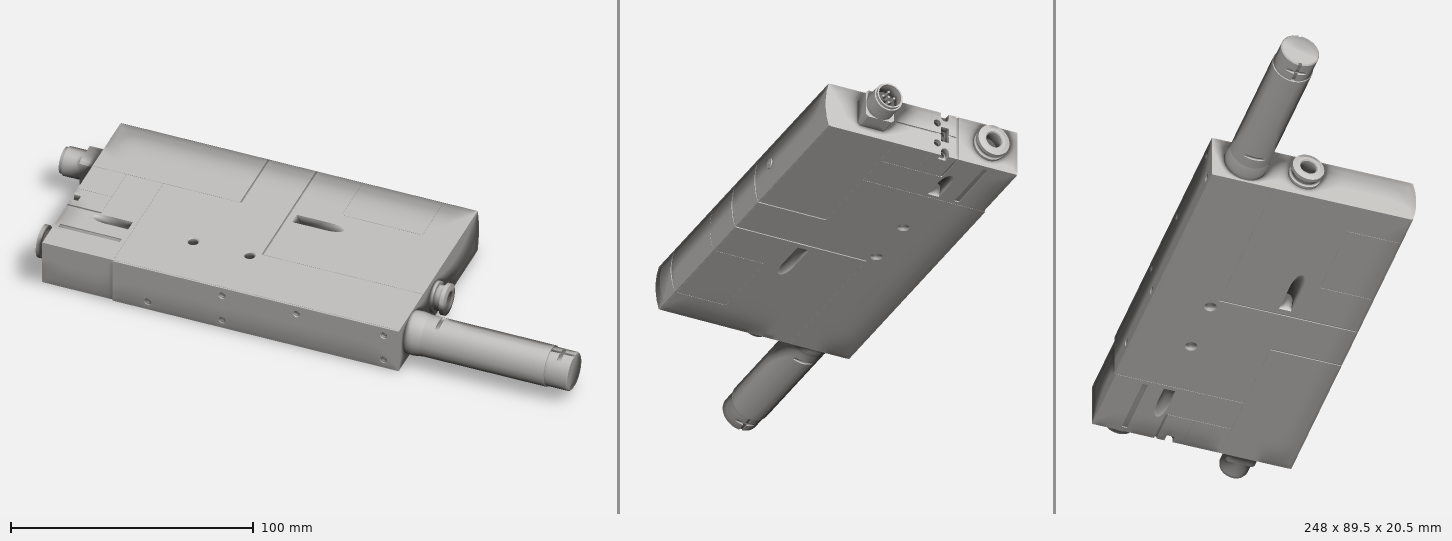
import cadquery as cq
import math


length = 158.5
thickness = 20.5
half_z = thickness / 2
roof_edge_y = 87.3
crown_y = 88.8
overall_width = 89.5

end_block_x = 31.5
end_block_step = 0.7
control_x = 65.5
control_y = 56.3
cover_x = 87.5
cover_y = 27.0
label_x0 = 107.7
label_x1 = 143.5
label_y = 64.0
label_corner = 0.7
label_rise = 0.12
valve_x = 15.1
valve_y0 = 28.8
valve_line_y = 40.0

seam = 0.12
gap = 0.7
seam_depth = 0.15
gap_depth = 0.5
valve_gap = 1.0

mount_hole_d = 4.2
mount_hole_chamfer = 0.5
mount_hole_x = (57.3, 82.4)
finger_y = 24.8
screw_hole_d = 2.45
screw_hole_depth = 3.7
screw_head_d = 3.2
screw_head_depth = 0.7
screw_z = 6.33
upper_screw_x = (80.1, 113.1, 151.8)
lower_screw_x = (47.1, 80.1, 151.8)
recess_d = 5.2
recess_slope = 20
cover_recess_length = 22.0
cover_recess_x = 90.3
cover_recess_y = 54.5
end_recess_length = 16.9
end_recess_x = 29.5
slot_x0 = 2.2
slot_x1 = 29.5
slot_y = 14.1
slot_width = 2.2
slot_depth = 0.5
override_y = 34.0
override_width = 3.5
override_depth = 3.2
override_outer_z = 6.57
override_inner_z = 3.5
override_bore_d = 2.45
override_bore_depth = 1.2
pilot_d = 3.2
pilot_bore_d = 2.45
pilot_bore_depth = 3.0
pilot_y = 37.5
pilot_z = 4.85
pilot_depth = 1.5
key_x1 = 153.5
key_rise = 0.5
button_x = 51.9
button_d = 4.5
button_rise = 0.5
button_tip_d = 1.0

connector_y = 67.7
connector_d = 12.7
connector_length = 17.4
connector_base = 8.0
connector_corner = 1.0
connector_tip_length = 1.5
connector_tip_d = 11.5
socket_d = 10.2
socket_depth = 6.2
pin_d = 1.0
pin_radius = 2.5
pin_length = 5.0

supply_y = 14.1
supply_d = 14.1
supply_length = 6.0
vacuum_y = 40.0
vacuum_d = 13.6
vacuum_length = 6.7
fitting_neck_d = 11.0
fitting_bore_d = 7.0
fitting_mouth_d = 8.0
fitting_lip_d = 10.0
fitting_base = 1.5
fitting_ring = 2.2
fitting_crown = 0.5

silencer_y = 14.5
silencer_length = 248.0 - connector_length - length
silencer_d = 17.5
collar_root_d = 18.4
collar_length = 7.2
collar_bulge_x = 2.5
collar_bulge_d = 18.9
silencer_tip_d = 16.5
silencer_tip_length = 10.2
silencer_chamfer = 0.5
notch_width = 1.7
notch_chord = 9.2
near_notch_x = 13.0
far_notch_x = 67.0
slit_width = 1.5
slit_depth = 1.0


def box(x0, x1, y0, y1, z0, z1):
    return cq.Workplane("XY").box(x1 - x0, y1 - y0, z1 - z0, centered=False).translate((x0, y0, z0))


def both_faces(x0, x1, y0, y1, depth):
    """Cutter that sinks the same rectangle into the top and bottom faces."""
    top = box(x0, x1, y0, y1, half_z - depth, half_z)
    return top.union(box(x0, x1, y0, y1, -half_z, -half_z + depth))


def rod(x0, x1, y, z, diameter):
    """Round bar along X."""
    return cq.Workplane("YZ", origin=(x0, y, z)).circle(diameter / 2).extrude(x1 - x0)


def block_blank():
    """Block with a flat front and a crowned back, extruded along X."""
    return (
        cq.Workplane("YZ")
        .moveTo(0, -half_z)
        .lineTo(roof_edge_y, -half_z)
        .threePointArc((crown_y, 0), (roof_edge_y, half_z))
        .lineTo(0, half_z)
        .close()
        .extrude(length)
    )


def crown_strip(x0, x1, rise):
    """Strip with the crown of the back face, its mid-line lifted by rise."""
    return (
        cq.Workplane("YZ", origin=(x0, 0, 0))
        .moveTo(roof_edge_y, -half_z)
        .threePointArc((crown_y + rise, 0), (roof_edge_y, half_z))
        .close()
        .extrude(x1 - x0)
    )


def back_gap(x):
    """Gap around the block's back at X = x, where two covers meet."""
    groove = box(x - gap, x, roof_edge_y, overall_width, -half_z, half_z)
    return groove.cut(crown_strip(x - gap, x, -gap_depth))


def cut_seams(body):
    body = body.cut(box(0, end_block_x, 0, end_block_step, -half_z, half_z))
    seams = (
        (end_block_x, length, end_block_step, end_block_step + seam),
        (end_block_x, end_block_x + seam, 0, control_y),
        (0, control_x, control_y - seam, control_y),
        (cover_x, length, cover_y, cover_y + seam),
        (valve_x, valve_x + seam, valve_y0, control_y),
        (0, valve_x, valve_line_y, valve_line_y + seam),
    )
    for x0, x1, y0, y1 in seams:
        body = body.cut(both_faces(x0, x1, y0, y1, seam_depth))
    gaps = (
        (control_x, control_x + gap, control_y, roof_edge_y),
        (cover_x - gap, cover_x, cover_y, roof_edge_y),
        (0, valve_x, valve_y0 - valve_gap, valve_y0),
    )
    for x0, x1, y0, y1 in gaps:
        body = body.cut(both_faces(x0, x1, y0, y1, gap_depth))
    edge_y = roof_edge_y - gap
    body = body.cut(both_faces(0, length, edge_y, edge_y + gap, seam_depth))
    left_joints = (
        (control_y - seam, control_y, half_z, seam_depth),
        (valve_line_y, valve_line_y + seam, half_z, seam_depth),
        (valve_y0 - valve_gap, valve_y0, half_z, gap_depth),
        (valve_y0, control_y, gap / 2, gap_depth),
    )
    for y0, y1, z, depth in left_joints:
        body = body.cut(box(0, depth, y0, y1, -z, z))
    return body


def label_seam():
    """Fine seam round the label panel, open toward the back, on both faces."""
    def panel(margin):
        width = label_x1 - label_x0 + 2 * margin
        depth = roof_edge_y - label_y + margin
        return (
            cq.Workplane("XY")
            .box(width, depth, thickness, centered=(True, False, True))
            .edges("|Z and <Y")
            .fillet(label_corner + margin)
            .translate(((label_x0 + label_x1) / 2, label_y - margin, 0))
        )

    core_z = half_z - seam_depth
    core = box(0, length, 0, roof_edge_y, -core_z, core_z)
    return panel(seam).cut(panel(0)).cut(core)


def ramp_recess(recess_length):
    """Upward-opening recess cutter whose tip is at the origin and whose deep end points to -X."""
    ramp_length = recess_length * math.cos(math.radians(recess_slope))
    floor = rod(-ramp_length, 0, 0, recess_d / 2, recess_d)
    opening = box(-ramp_length, 0, -recess_d / 2, recess_d / 2, recess_d / 2, thickness)
    return floor.union(opening).rotate((0, 0, 0), (0, 1, 0), -recess_slope)


def cut_openings(body):
    mount_holes = [(x, finger_y) for x in mount_hole_x]
    holes = cq.Workplane("XY").pushPoints(mount_holes).circle(mount_hole_d / 2)
    body = body.cut(holes.extrude(half_z, both=True))
    for x, y in mount_holes:
        for side in (-1, 1):
            sink = cq.Solid.makeCone(
                mount_hole_d / 2 + mount_hole_chamfer,
                mount_hole_d / 2,
                mount_hole_chamfer,
                pnt=cq.Vector(x, y, side * half_z),
                dir=cq.Vector(0, 0, -side),
            )
            body = body.cut(cq.Workplane(sink))
    screws = [(x, screw_z) for x in upper_screw_x] + [(x, -screw_z) for x in lower_screw_x]
    for diameter, depth in ((screw_hole_d, screw_hole_depth), (screw_head_d, screw_head_depth)):
        screw_holes = cq.Workplane("XZ").pushPoints(screws).circle(diameter / 2)
        body = body.cut(screw_holes.extrude(-depth))
    cover_tip_x = cover_recess_x + cover_recess_length
    end_tip_x = end_recess_x - end_recess_length
    cover_recess = ramp_recess(cover_recess_length).translate((cover_tip_x, cover_recess_y, half_z))
    end_recess = ramp_recess(end_recess_length).mirror("YZ").translate((end_tip_x, finger_y, half_z))
    for recess in (cover_recess, end_recess):
        body = body.cut(recess).cut(recess.mirror("XY"))
    y0 = slot_y - slot_width / 2
    return body.cut(both_faces(slot_x0, slot_x1, y0, y0 + slot_width, slot_depth))


def cut_valve_face(body):
    """Manual override recesses and pilot holes, mirrored about the mid-plane."""
    y0 = override_y - override_width / 2
    y1 = y0 + override_width
    body = body.cut(box(0, override_depth, y0, y1, -override_inner_z, override_inner_z))
    outer_round_z = override_outer_z + override_width / 2
    for side in (-1, 1):
        recess = rod(0, override_depth, override_y, outer_round_z, override_width)
        recess = recess.union(box(0, override_depth, y0, y1, outer_round_z, half_z))
        if side < 0:
            recess = recess.mirror("XY")
        body = body.cut(recess)
        bore_end = override_depth + override_bore_depth
        for z in (override_inner_z / 2, outer_round_z):
            body = body.cut(rod(override_depth, bore_end, override_y, side * z, override_bore_d))
        body = body.cut(rod(0, pilot_depth, pilot_y, side * pilot_z, pilot_d))
        body = body.cut(rod(0, pilot_bore_depth, pilot_y, side * pilot_z, pilot_bore_d))
    return body


def add_back_controls(body):
    """Label wrap, raised key and small round button on the crowned back face."""
    body = body.union(crown_strip(label_x0, label_x1, label_rise))
    body = body.union(crown_strip(label_x1, key_x1, key_rise))
    button = cq.Workplane("XZ", origin=(button_x, control_y, 0)).circle(button_d / 2)
    tip = cq.Workplane("XZ", origin=(button_x, control_y, 0)).circle(button_tip_d / 2)
    body = body.union(button.extrude(-(crown_y + button_rise - control_y)))
    return body.union(tip.extrude(-(overall_width - control_y)))


def make_housing():
    body = block_blank()
    body = cut_seams(body)
    body = body.cut(label_seam())
    for x in (control_x + gap, cover_x):
        body = body.cut(back_gap(x))
    body = cut_openings(body)
    body = cut_valve_face(body)
    return add_back_controls(body)


def make_connector():
    tip_x = -connector_length
    half_base = connector_d / 2
    base = box(-connector_base, 0, -half_base, half_base, -half_base, half_base)
    base = base.edges("|X").chamfer(connector_corner).translate((0, connector_y, 0))
    tip_end = tip_x + connector_tip_length
    barrel = rod(tip_end, -connector_base, connector_y, 0, connector_d)
    tip = rod(tip_x, tip_end, connector_y, 0, connector_tip_d)
    floor_x = tip_x + socket_depth
    body = base.union(barrel).union(tip).cut(rod(tip_x, floor_x, connector_y, 0, socket_d))
    pin_places = ((0, 0), (pin_radius, 0), (-pin_radius, 0), (0, pin_radius), (0, -pin_radius))
    for y, z in pin_places:
        body = body.union(rod(floor_x - pin_length, floor_x, connector_y + y, z, pin_d))
    return body


def make_fitting(diameter, fitting_length):
    """Push-in fitting standing on X = 0 and pointing to +X."""
    rim = diameter / 2
    neck = fitting_neck_d / 2
    ring_x = fitting_length - fitting_ring
    return (
        cq.Workplane("XY")
        .moveTo(0, fitting_bore_d / 2)
        .lineTo(0, rim)
        .lineTo(fitting_base, rim)
        .lineTo(fitting_base, neck)
        .lineTo(ring_x, neck)
        .lineTo(ring_x, rim)
        .lineTo(fitting_length - fitting_crown, rim)
        .lineTo(fitting_length, fitting_lip_d / 2)
        .lineTo(fitting_length, fitting_mouth_d / 2)
        .lineTo(fitting_length - fitting_crown, fitting_bore_d / 2)
        .close()
        .revolve(360, (0, 0, 0), (1, 0, 0))
    )


def make_silencer():
    radius = silencer_d / 2
    tip_radius = silencer_tip_d / 2
    tip_x = silencer_length - silencer_tip_length
    body = (
        cq.Workplane("XY")
        .lineTo(0, collar_root_d / 2)
        .threePointArc((collar_bulge_x, collar_bulge_d / 2), (collar_length, radius))
        .lineTo(tip_x, radius)
        .lineTo(tip_x, tip_radius)
        .lineTo(silencer_length - silencer_chamfer, tip_radius)
        .lineTo(silencer_length, tip_radius - silencer_chamfer)
        .lineTo(silencer_length, 0)
        .close()
        .revolve(360, (0, 0, 0), (1, 0, 0))
    )
    for x, outer in ((near_notch_x, radius), (far_notch_x, tip_radius)):
        floor_z = math.sqrt(outer**2 - (notch_chord / 2) ** 2)
        x0 = x - notch_width / 2
        notch = box(x0, x0 + notch_width, -outer, outer, floor_z, outer)
        body = body.cut(notch).cut(notch.mirror("XY"))
    slit = box(tip_x, silencer_length, -slit_width / 2, slit_width / 2, tip_radius - slit_depth, tip_radius)
    body = body.cut(slit).cut(slit.mirror("XY"))
    return body.translate((length, silencer_y, 0))


housing = make_housing()
connector = make_connector()
supply_fitting = make_fitting(supply_d, supply_length).mirror("YZ").translate((0, supply_y, 0))
vacuum_fitting = make_fitting(vacuum_d, vacuum_length).translate((length, vacuum_y, 0))
silencer = make_silencer()

result = cq.Compound.makeCompound(
    [housing.val(), connector.val(), supply_fitting.val(), vacuum_fitting.val(), silencer.val()]
)